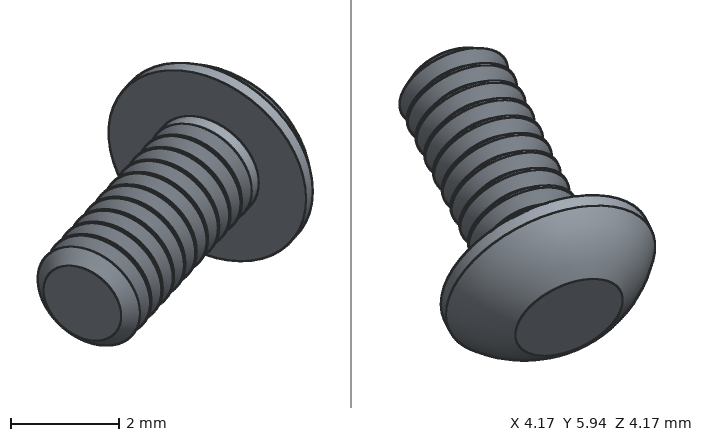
import cadquery as cq
import math

total_length = 5.94

head_radius = 2.085
head_height = 1.17
rim_height = 0.26
top_flat_radius = 1.07

major_radius = 1.085
root_radius = 0.83
plain_length = 0.27
groove_width = 0.375
groove_count = 10

tip_length = 0.245
tip_radius = 0.82
tip_edge_radius = 1.08

shank_length = total_length - head_height
pitch = (shank_length - plain_length - groove_width - tip_length) / (groove_count - 1)


def dome_midpoint():
    """Point halfway along the dome arc, whose sphere is centred on the screw axis."""
    center_y = (head_height**2 + top_flat_radius**2 - rim_height**2 - head_radius**2) / (
        2 * (head_height - rim_height)
    )
    sphere_radius = math.hypot(head_radius, rim_height - center_y)
    rim_angle = math.atan2(rim_height - center_y, head_radius)
    flat_angle = math.atan2(head_height - center_y, top_flat_radius)
    middle_angle = (rim_angle + flat_angle) / 2
    return (
        sphere_radius * math.cos(middle_angle),
        center_y + sphere_radius * math.sin(middle_angle),
    )


def make_head():
    profile = (
        cq.Workplane("XY")
        .lineTo(head_radius, 0)
        .lineTo(head_radius, rim_height)
        .threePointArc(dome_midpoint(), (top_flat_radius, head_height))
        .lineTo(0, head_height)
        .close()
    )
    return profile.revolve(360, (0, 0, 0), (0, 1, 0))


def make_shank():
    profile = cq.Workplane("XY").lineTo(major_radius, 0)
    for index in range(groove_count):
        groove_start = -plain_length - index * pitch
        is_last = index == groove_count - 1
        end_radius = tip_edge_radius if is_last else major_radius
        profile = (
            profile.lineTo(major_radius, groove_start)
            .lineTo(root_radius, groove_start - groove_width / 2)
            .lineTo(end_radius, groove_start - groove_width)
        )
    profile = profile.lineTo(tip_radius, -shank_length).lineTo(0, -shank_length).close()
    return profile.revolve(360, (0, 0, 0), (0, 1, 0))


result = make_head().union(make_shank())